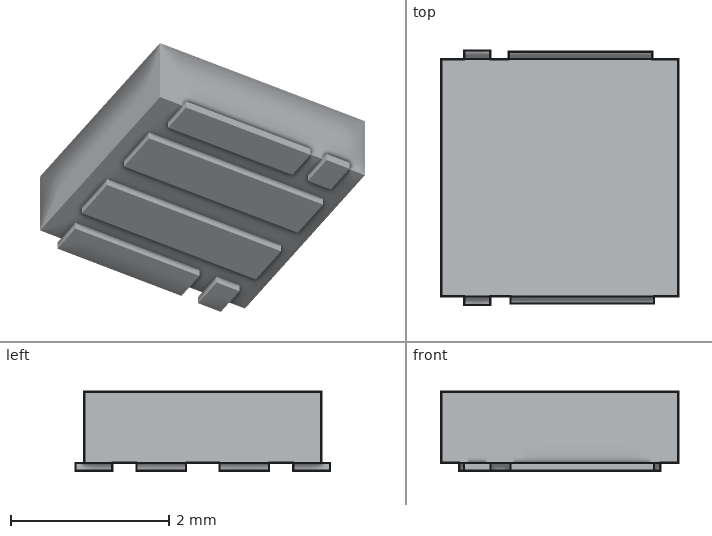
import cadquery as cq

housing_side = 3.0
housing_height = 0.9
pad_thickness = 0.1

short_pad_reach = 1.61
long_pad_reach = 1.595
edge_pad_inner = 1.143
short_pad_left = -1.21
short_pad_width = 0.335
long_pad_width = 1.82
front_long_pad_left = -0.625
rear_long_pad_left = -0.647

middle_pad_width = 2.547
middle_pad_inner = 0.21
middle_pad_outer = 0.84


def make_housing():
    """Plain block whose underside rests on the tops of the pads."""
    return cq.Workplane("XY").workplane(offset=pad_thickness).rect(
        housing_side, housing_side
    ).extrude(housing_height)


def make_pad(left, width, inner, outer, side):
    """Flat pad between two distances from the X axis; side is -1 or 1 along Y."""
    center_x = left + width / 2
    center_y = side * (inner + outer) / 2
    return cq.Workplane("XY").center(center_x, center_y).rect(
        width, outer - inner
    ).extrude(pad_thickness)


def make_short_pad(side):
    return make_pad(short_pad_left, short_pad_width, edge_pad_inner, short_pad_reach, side)


def make_long_pad(side, left):
    return make_pad(left, long_pad_width, edge_pad_inner, long_pad_reach, side)


def make_middle_pad(side):
    return make_pad(-middle_pad_width / 2, middle_pad_width, middle_pad_inner, middle_pad_outer, side)


housing = make_housing()
pads = []
for side, long_pad_left in ((-1, front_long_pad_left), (1, rear_long_pad_left)):
    pads.append(make_short_pad(side))
    pads.append(make_long_pad(side, long_pad_left))
    pads.append(make_middle_pad(side))

result = cq.Compound.makeCompound([housing.val(), *[pad.val() for pad in pads]])